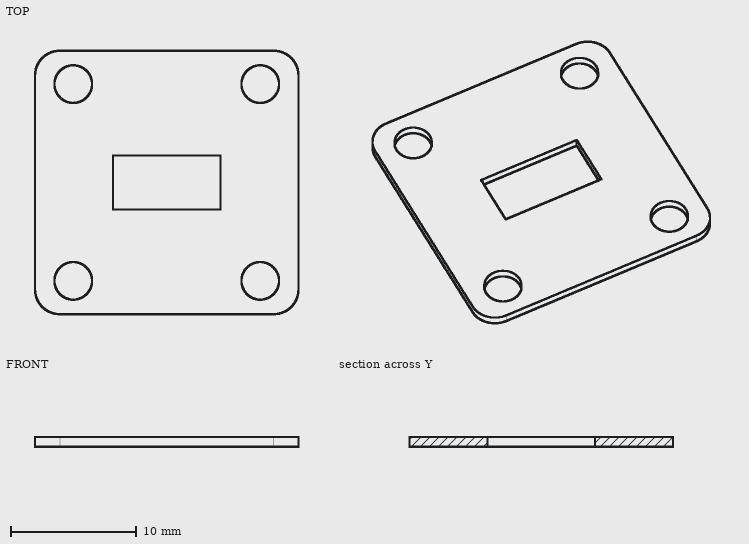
import cadquery as cq

side = 21.1
thickness = 0.8
corner_radius = 2.0

window_length = 8.59
window_width = 4.3

hole_diameter = 3.0
hole_spacing_x = 14.95
hole_spacing_y = 15.75

plate = (
    cq.Workplane("XY")
    .box(side, side, thickness)
    .edges("|Z")
    .fillet(corner_radius)
)

plate_with_window = (
    plate.faces(">Z")
    .workplane()
    .rect(window_length, window_width)
    .cutThruAll()
)

result = (
    plate_with_window.faces(">Z")
    .workplane(origin=(0, 0, 0))
    .rect(hole_spacing_x, hole_spacing_y, forConstruction=True)
    .vertices()
    .hole(hole_diameter)
)